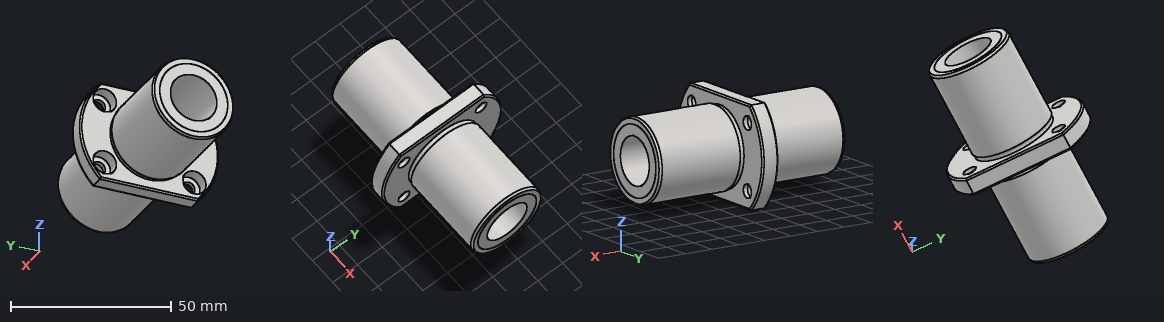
import cadquery as cq


sleeve_length = 70
sleeve_diameter = 28
bore_diameter = 16.0
end_chamfer_length = 0.9
end_chamfer_depth = 0.4

seal_diameter = 23.5
seal_recess = 0.1

flange_diameter = 48.0
flange_height = 34.0
flange_thickness = 6.0
flange_chamfer = 0.55

groove_width = 2.1
groove_overlap = 0.4
groove_depth = 0.5

hole_spacing_y = 31.0
hole_spacing_z = 22.0
hole_diameter = 4.5
counterbore_diameter = 8.0
counterbore_depth = 4.4

half_length = sleeve_length / 2
half_flange = flange_thickness / 2
sleeve_radius = sleeve_diameter / 2
groove_start = half_flange - groove_overlap


def cylinder_along_x(diameter, start_x, length):
    return cq.Workplane("YZ", origin=(start_x, 0, 0)).circle(diameter / 2).extrude(length)


def make_sleeve():
    """Revolve half of the outer profile and mirror it; the core also fills the flange."""
    groove_end = groove_start + groove_width
    groove_bottom = (groove_start + groove_width / 2, sleeve_radius - groove_depth)
    half_sleeve = (
        cq.Workplane("XY")
        .lineTo(0, sleeve_radius)
        .lineTo(groove_start, sleeve_radius)
        .threePointArc(groove_bottom, (groove_end, sleeve_radius))
        .lineTo(half_length - end_chamfer_length, sleeve_radius)
        .lineTo(half_length, sleeve_radius - end_chamfer_depth)
        .lineTo(half_length, 0)
        .close()
        .revolve(360, (0, 0, 0), (1, 0, 0))
    )
    return half_sleeve.union(half_sleeve.mirror("YZ"))


def make_flange():
    disc = cylinder_along_x(flange_diameter, -half_flange, flange_thickness)
    flats = cq.Workplane("XY").box(flange_thickness, flange_diameter, flange_height)
    return disc.intersect(flats).faces("<X or >X").chamfer(flange_chamfer)


def cut_mounting_holes(body):
    return (
        body.faces("<X")
        .workplane(origin=(-half_flange, 0, 0))
        .rarray(hole_spacing_y, hole_spacing_z, 2, 2)
        .cboreHole(hole_diameter, counterbore_diameter, counterbore_depth)
    )


def cut_seal_recesses(body):
    for start_x in (-half_length, half_length - seal_recess):
        body = body.cut(cylinder_along_x(seal_diameter, start_x, seal_recess))
    return body


flange = cut_mounting_holes(make_flange())
body = cut_seal_recesses(make_sleeve().union(flange))
result = body.cut(cylinder_along_x(bore_diameter, -half_length, sleeve_length))